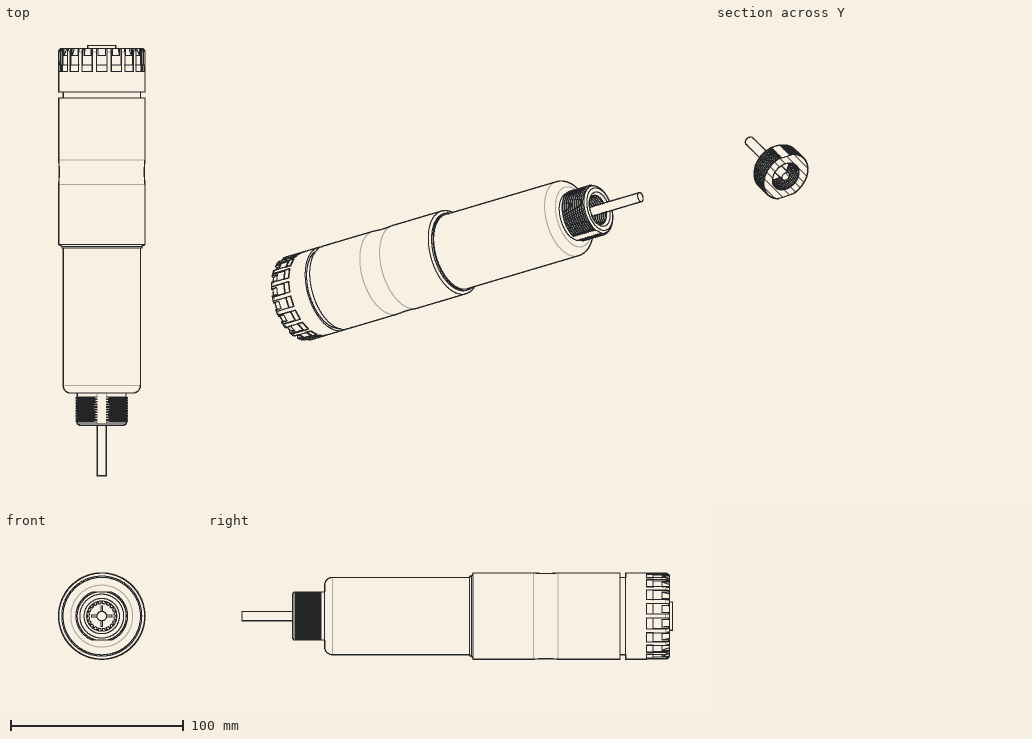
import cadquery as cq

OVERALL_LENGTH = 249.0
OUTER_DIAMETER = 50.0
OUTER_RADIUS = OUTER_DIAMETER / 2
TOP_END = OVERALL_LENGTH / 2
CABLE_END = -OVERALL_LENGTH / 2

LENS_RADIUS = 8.2
LENS_HEIGHT = 1.7
CAP_LENGTH = 25.5
CAP_EDGE_ROUND = 2.2
CAP_TOP = TOP_END - LENS_HEIGHT
CAP_BOTTOM = CAP_TOP - CAP_LENGTH

RECESS_RADIUS = 23.7
RECESS_DEPTH = 2.5
RECESS_FLOOR = CAP_BOTTOM + RECESS_DEPTH

SCOOP_COUNT = 18
SCOOP_WIDTH = 6.2
SCOOP_DEPTH = 1.0
SCOOP_LENGTH = 13.5
SCOOP_STEP_LENGTH = 3.7
SCOOP_STEP_DEPTH = 0.5
NOTCH_WIDTH = 4.2
NOTCH_LENGTH = 4.2
NOTCH_DEPTH = 3.0

TUBE_RADIUS = 22.5
NECK_LENGTH = 3.2
SLEEVE_TOP = CAP_BOTTOM - NECK_LENGTH
SLEEVE_BOTTOM = 9.2
SHOULDER_RADIUS = 23.2
SHOULDER_TOP = 8.2
SHOULDER_BOTTOM = 7.2
WAIST_TOP = 58.3
WAIST_BOTTOM = 44.0
WAIST_DEPTH = 0.37
TUBE_BOTTOM = -76.7
TUBE_END_ROUND = 4.5

THREAD_RADIUS = 15.0
ROOT_RADIUS = 14.2
SPIGOT_END = -95.5
SPIGOT_CHAMFER_RADIAL = 1.5
SPIGOT_CHAMFER_AXIAL = 1.0
THREAD_PITCH = 1.5
RIDGE_HALF_FOOT = 0.6
RIDGE_HALF_CREST = 0.15
RIDGE_COUNT = 10
FIRST_RIDGE = -79.5
FLAT_COUNT = 2
FLAT_HEIGHT = 14.0

BORE_RADIUS = 8.7
BORE_MOUTH_RADIUS = 10.2
BORE_DEPTH = 15.0
BORE_GROOVE_DEPTH = 0.7
BORE_GROOVE_COUNT = 7
BORE_FLOOR = SPIGOT_END + BORE_DEPTH
MOUTH_DEPTH = BORE_MOUTH_RADIUS - BORE_RADIUS

SOCKET_RADIUS = 7.2
SOCKET_DEPTH = 1.5
SERRATION_COUNT = 20
SERRATION_WIDTH = 1.0
SERRATION_OUTER_RADIUS = 8.2
SOCKET_FLOOR = BORE_FLOOR + SOCKET_DEPTH
SLIT_COUNT = 4
SLIT_WIDTH = 1.0
SLIT_OUTER_RADIUS = 6.0
SLIT_DEPTH = 1.2

CABLE_RADIUS = 2.7


def rod(radius, y_low, y_high):
    """Cylinder on the Y axis between two stations."""
    return cq.Workplane("XZ", origin=(0, y_high, 0)).circle(radius).extrude(y_high - y_low)


def turned(points):
    """Ring or solid with straight-sided (radius, y) profile, turned about the Y axis."""
    return cq.Workplane("XY").polyline(points).close().revolve(360, (0, 0, 0), (0, 1, 0))


def repeat_around(shape, count):
    """Equally spaced copies about the Y axis, the first one left in place."""
    copies = cq.Workplane("XY")
    for i in range(count):
        copies = copies.add(shape.rotate((0, 0, 0), (0, 1, 0), i * 360 / count).vals())
    return copies.combine()


def radial_bar(width, outer_radius, y_low, depth):
    """Bar from the axis towards +Z, used for serrations and slits."""
    bar = cq.Workplane("XY").box(width, depth, outer_radius, centered=(True, False, False))
    return bar.translate((0, y_low, 0))


def finger_scoops():
    """Flat-floored scoops, open at the cap top, with a shallower step at the lower end."""
    floor = OUTER_RADIUS - SCOOP_DEPTH
    step = OUTER_RADIUS - SCOOP_STEP_DEPTH
    scoop_bottom = CAP_TOP - SCOOP_LENGTH
    step_top = scoop_bottom + SCOOP_STEP_LENGTH
    scoop = (
        cq.Workplane("YZ")
        .moveTo(scoop_bottom, OUTER_RADIUS)
        .lineTo(scoop_bottom, step)
        .lineTo(step_top, step)
        .lineTo(step_top, floor)
        .lineTo(CAP_TOP, floor)
        .lineTo(CAP_TOP, OUTER_RADIUS)
        .close()
        .extrude(SCOOP_WIDTH / 2, both=True)
    )
    return repeat_around(scoop, SCOOP_COUNT)


def end_notches():
    """Narrower notches at the top of the scoops, deepening towards the cap top."""
    notch = (
        cq.Workplane("YZ")
        .moveTo(CAP_TOP - NOTCH_LENGTH, OUTER_RADIUS - SCOOP_DEPTH)
        .lineTo(CAP_TOP, OUTER_RADIUS - NOTCH_DEPTH)
        .lineTo(CAP_TOP, OUTER_RADIUS)
        .lineTo(CAP_TOP - NOTCH_LENGTH, OUTER_RADIUS)
        .close()
        .extrude(NOTCH_WIDTH / 2, both=True)
    )
    return repeat_around(notch, SCOOP_COUNT)


def make_cap():
    """Scooped cap with its lens, and a clearance recess that takes the housing neck."""
    cap = rod(OUTER_RADIUS, CAP_BOTTOM, CAP_TOP).faces(">Y").edges().fillet(CAP_EDGE_ROUND)
    cap = cap.cut(finger_scoops()).cut(end_notches())
    cap = cap.cut(rod(RECESS_RADIUS, CAP_BOTTOM, RECESS_FLOOR))
    return cap.union(rod(LENS_RADIUS, CAP_TOP, TOP_END))


def housing_blank():
    """Neck, waisted sleeve, shoulder, tube and plain spigot in one turned profile."""
    waist_middle = (WAIST_TOP + WAIST_BOTTOM) / 2
    return (
        cq.Workplane("XY")
        .moveTo(0, RECESS_FLOOR)
        .lineTo(TUBE_RADIUS, RECESS_FLOOR)
        .lineTo(TUBE_RADIUS, SLEEVE_TOP)
        .lineTo(OUTER_RADIUS, SLEEVE_TOP)
        .lineTo(OUTER_RADIUS, WAIST_TOP)
        .threePointArc((OUTER_RADIUS - WAIST_DEPTH, waist_middle), (OUTER_RADIUS, WAIST_BOTTOM))
        .lineTo(OUTER_RADIUS, SLEEVE_BOTTOM)
        .lineTo(SHOULDER_RADIUS, SHOULDER_TOP)
        .lineTo(SHOULDER_RADIUS, SHOULDER_BOTTOM)
        .lineTo(TUBE_RADIUS, SHOULDER_BOTTOM)
        .lineTo(TUBE_RADIUS, TUBE_BOTTOM + TUBE_END_ROUND)
        .radiusArc((TUBE_RADIUS - TUBE_END_ROUND, TUBE_BOTTOM), TUBE_END_ROUND)
        .lineTo(ROOT_RADIUS, TUBE_BOTTOM)
        .lineTo(ROOT_RADIUS, SPIGOT_END + SPIGOT_CHAMFER_AXIAL)
        .lineTo(ROOT_RADIUS - SPIGOT_CHAMFER_RADIAL, SPIGOT_END)
        .lineTo(0, SPIGOT_END)
        .close()
        .revolve(360, (0, 0, 0), (0, 1, 0))
    )


def thread_ridges(body):
    """Add the ring-shaped ridges, each a blunt tooth standing on the spigot root."""
    for i in range(RIDGE_COUNT):
        y = FIRST_RIDGE - i * THREAD_PITCH
        ridge = turned(
            [
                (BORE_MOUTH_RADIUS, y - RIDGE_HALF_FOOT),
                (ROOT_RADIUS, y - RIDGE_HALF_FOOT),
                (THREAD_RADIUS, y - RIDGE_HALF_CREST),
                (THREAD_RADIUS, y + RIDGE_HALF_CREST),
                (ROOT_RADIUS, y + RIDGE_HALF_FOOT),
                (BORE_MOUTH_RADIUS, y + RIDGE_HALF_FOOT),
            ]
        )
        body = body.union(ridge)
    return body


def thread_flats():
    """Slabs that plane the spigot flat on the +Z and -Z sides."""
    length = TUBE_BOTTOM - SPIGOT_END
    height = THREAD_RADIUS - FLAT_HEIGHT
    slab = cq.Workplane("XY").box(2 * THREAD_RADIUS, length, height, centered=(True, False, False))
    return repeat_around(slab.translate((0, SPIGOT_END, FLAT_HEIGHT)), FLAT_COUNT)


def bore():
    """Blind bore with a chamfered mouth, thread grooves and a serrated socket."""
    cutter = turned(
        [
            (0, SPIGOT_END),
            (BORE_MOUTH_RADIUS, SPIGOT_END),
            (BORE_RADIUS, SPIGOT_END + MOUTH_DEPTH),
            (BORE_RADIUS, BORE_FLOOR),
            (0, BORE_FLOOR),
        ]
    )
    for i in range(BORE_GROOVE_COUNT):
        y = SPIGOT_END + MOUTH_DEPTH + (i + 1) * THREAD_PITCH
        groove = turned(
            [
                (0, y - RIDGE_HALF_FOOT),
                (BORE_RADIUS, y - RIDGE_HALF_FOOT),
                (BORE_RADIUS + BORE_GROOVE_DEPTH, y),
                (BORE_RADIUS, y + RIDGE_HALF_FOOT),
                (0, y + RIDGE_HALF_FOOT),
            ]
        )
        cutter = cutter.union(groove)
    socket = rod(SOCKET_RADIUS, BORE_FLOOR, SOCKET_FLOOR)
    serration = radial_bar(SERRATION_WIDTH, SERRATION_OUTER_RADIUS, BORE_FLOOR, SOCKET_DEPTH)
    return cutter.union(socket).union(repeat_around(serration, SERRATION_COUNT))


def seal_slits():
    """Cross of narrow slits in the seal around the cable."""
    slit = radial_bar(SLIT_WIDTH, SLIT_OUTER_RADIUS, SOCKET_FLOOR, SLIT_DEPTH)
    return repeat_around(slit, SLIT_COUNT)


def make_housing():
    """Housing with its threaded spigot and the cable moulded into it."""
    body = thread_ridges(housing_blank())
    body = body.cut(thread_flats()).cut(bore()).cut(seal_slits())
    return body.union(rod(CABLE_RADIUS, CABLE_END, SOCKET_FLOOR + SLIT_DEPTH))


cap = make_cap().solids()
housing = make_housing().solids()

result = cq.Compound.makeCompound([cap.val(), housing.val()])